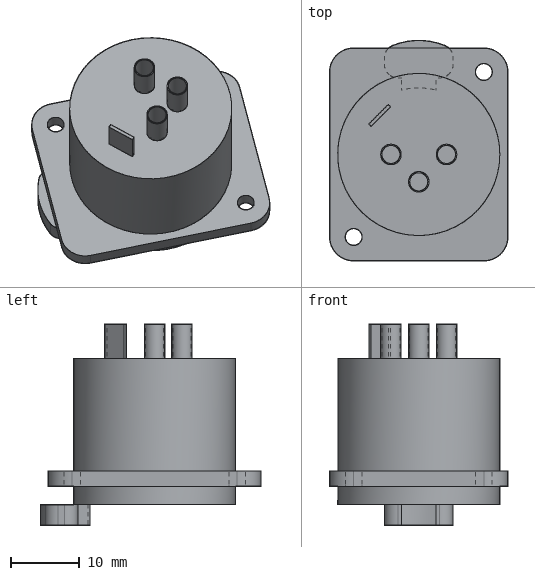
import cadquery as cq
import math

plate_width = 26.0
overall_length = 32.12
plate_length = 31.0
plate_thickness = 2.28
plate_corner_radius = 3.5
screw_hole_diameter = 2.4
screw_hole_x = 9.48
screw_hole_y = 12.0

barrel_diameter = 23.6
barrel_above_plate = 16.35
barrel_below_plate = 2.65
barrel_top = plate_thickness + barrel_above_plate

terminal_height = 5.0
cup_diameter = 3.0
cup_bore_diameter = 2.63
cup_offset_x = 4.05
cup_offset_y = 3.98
cup_centers = [(-cup_offset_x, 0), (cup_offset_x, 0), (0, -cup_offset_y)]
blade_length = 4.0
blade_thickness = 0.48
blade_offset = 5.7
blade_angle = 45

tab_thickness = 3.0
tab_tip_y = overall_length - plate_length / 2
tab_half_width = 5.0
tab_tip_radius = 10.0
tab_corner_radius = 2.0
tab_shoulder_y = 11.15
tab_leg_half_width = 2.5
tab_inner_radius = 9.7


def make_plate():
    return (
        cq.Workplane("XY")
        .rect(plate_width, plate_length)
        .extrude(plate_thickness)
        .edges("|Z")
        .fillet(plate_corner_radius)
    )


def make_barrel():
    return (
        cq.Workplane("XY", origin=(0, 0, -barrel_below_plate))
        .circle(barrel_diameter / 2)
        .extrude(barrel_below_plate + barrel_top)
    )


def cut_screw_holes(body):
    holes = (
        cq.Workplane("XY")
        .pushPoints([(screw_hole_x, screw_hole_y), (-screw_hole_x, -screw_hole_y)])
        .circle(screw_hole_diameter / 2)
        .extrude(plate_thickness)
    )
    return body.cut(holes)


def make_solder_cups():
    return (
        cq.Workplane("XY", origin=(0, 0, barrel_top))
        .pushPoints(cup_centers)
        .circle(cup_diameter / 2)
        .circle(cup_bore_diameter / 2)
        .extrude(terminal_height)
    )


def make_ground_blade():
    return (
        cq.Workplane("XY", origin=(-blade_offset, blade_offset, barrel_top))
        .transformed(rotate=(0, 0, blade_angle))
        .rect(blade_length, blade_thickness)
        .extrude(terminal_height)
    )


def make_release_tab():
    tip_center_y = tab_tip_y - tab_tip_radius
    corner_x = tab_half_width - tab_corner_radius
    blend_angle = math.asin(corner_x / (tab_tip_radius - tab_corner_radius))
    blend_x = tab_tip_radius * math.sin(blend_angle)
    blend_y = tip_center_y + tab_tip_radius * math.cos(blend_angle)
    upper_corner_y = tip_center_y + corner_x / math.tan(blend_angle)
    lower_corner_y = tab_shoulder_y + tab_corner_radius

    def upper_corner_middle(side):
        angle = (blend_angle + math.pi / 2) / 2
        return (
            side * (corner_x + tab_corner_radius * math.sin(angle)),
            upper_corner_y + tab_corner_radius * math.cos(angle),
        )

    def lower_corner_middle(side):
        reach = tab_corner_radius * math.sqrt(0.5)
        return (side * (corner_x + reach), lower_corner_y - reach)

    leg_end_y = math.sqrt(tab_inner_radius**2 - tab_leg_half_width**2)

    return (
        cq.Workplane("XY", origin=(0, 0, -barrel_below_plate - tab_thickness))
        .moveTo(-blend_x, blend_y)
        .threePointArc((0, tab_tip_y), (blend_x, blend_y))
        .threePointArc(upper_corner_middle(1), (tab_half_width, upper_corner_y))
        .lineTo(tab_half_width, lower_corner_y)
        .threePointArc(lower_corner_middle(1), (corner_x, tab_shoulder_y))
        .lineTo(tab_leg_half_width, tab_shoulder_y)
        .lineTo(tab_leg_half_width, leg_end_y)
        .threePointArc((0, tab_inner_radius), (-tab_leg_half_width, leg_end_y))
        .lineTo(-tab_leg_half_width, tab_shoulder_y)
        .lineTo(-corner_x, tab_shoulder_y)
        .threePointArc(lower_corner_middle(-1), (-tab_half_width, lower_corner_y))
        .lineTo(-tab_half_width, upper_corner_y)
        .threePointArc(upper_corner_middle(-1), (-blend_x, blend_y))
        .close()
        .extrude(tab_thickness)
    )


flanged_body = cut_screw_holes(make_plate().union(make_barrel()))
result = (
    flanged_body.union(make_solder_cups())
    .union(make_ground_blade())
    .union(make_release_tab())
)